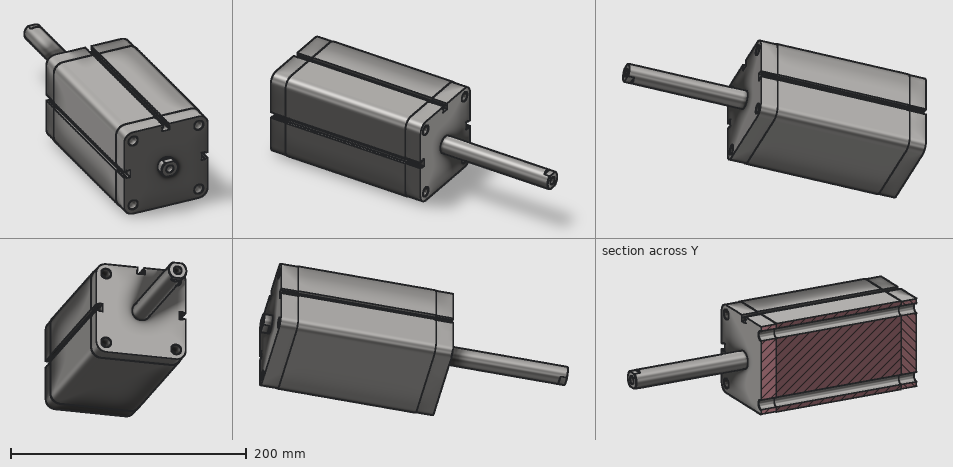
import cadquery as cq

cap_length = 15.0
tube_length = 120.0
barrel_length = tube_length + 2 * cap_length

tube_width = 80.0
tube_corner_radius = 9.0
cap_setback = 0.4

corner_hole_diameter = 8.3
corner_hole_chamfer = 0.4
corner_hole_spacing = tube_width - 2 * tube_corner_radius

slot_opening_width = 5.6
cap_undercut_width = 7.0
tube_undercut_width = 6.2
slot_lip_depth = 3.0
slot_depth = 6.2
slot_angles = (-90, 0, 90)

rod_diameter = 16.0
rod_front_overhang = 107.5
rod_rear_overhang = 7.5
rod_length = rod_front_overhang + barrel_length + rod_rear_overhang
rod_chamfer = 0.5

across_flats = 13.5
flat_length = 5.7
flat_runout = 0.7

bore_diameter = 6.6
bore_chamfer = 0.3
bore_depth = 20.0
bore_tip_length = 2.0


def section_plane(x):
    """Plane at the given X, facing +X, with local axes along Y and Z."""
    return cq.Workplane("YZ", origin=(x, 0, 0))


def make_slot_cutter(start_x, length, undercut_width):
    """T-slot along the top of the barrel, with its narrow opening upwards."""
    top_z = tube_width / 2
    lip_z = top_z - slot_lip_depth
    floor_z = top_z - slot_depth
    half_opening = slot_opening_width / 2
    half_undercut = undercut_width / 2
    return (
        section_plane(start_x)
        .moveTo(-half_opening, top_z)
        .lineTo(-half_opening, lip_z)
        .lineTo(-half_undercut, lip_z)
        .lineTo(-half_undercut, floor_z)
        .lineTo(half_undercut, floor_z)
        .lineTo(half_undercut, lip_z)
        .lineTo(half_opening, lip_z)
        .lineTo(half_opening, top_z)
        .close()
        .extrude(length)
    )


def make_barrel_piece(start_x, length, setback, undercut_width):
    """Square block with T-slots, four corner holes and a hole for the rod."""
    width = tube_width - 2 * setback
    piece = section_plane(start_x).rect(width, width).extrude(length)
    piece = piece.edges("|X").fillet(tube_corner_radius - setback)

    corner_holes = (
        section_plane(start_x)
        .rect(corner_hole_spacing, corner_hole_spacing, forConstruction=True)
        .vertices()
        .circle(corner_hole_diameter / 2)
        .extrude(length)
    )
    rod_hole = section_plane(start_x).circle(rod_diameter / 2).extrude(length)
    piece = piece.cut(corner_holes).cut(rod_hole)

    slot_cutter = make_slot_cutter(start_x, length, undercut_width)
    for angle in slot_angles:
        piece = piece.cut(slot_cutter.rotate((0, 0, 0), (1, 0, 0), angle))
    return piece


def make_cap(start_x, outer_side):
    """End cap of the barrel; outer_side selects its face away from the tube."""
    cap = make_barrel_piece(start_x, cap_length, cap_setback, cap_undercut_width)
    hole_mouths = cq.selectors.RadiusNthSelector(0)
    return cap.faces(outer_side).edges(hole_mouths).chamfer(corner_hole_chamfer)


def make_tube():
    """Barrel tube between the two caps."""
    return make_barrel_piece(cap_length, tube_length, 0, tube_undercut_width)


def make_flat_cutter(end_x, inward):
    """Slope-ended block for the top flat of a rod end; inward is +1 or -1 along X."""
    flat_end_x = end_x + inward * flat_length
    return (
        cq.Workplane("XZ")
        .moveTo(end_x, across_flats / 2)
        .lineTo(flat_end_x, across_flats / 2)
        .lineTo(flat_end_x + inward * flat_runout, rod_diameter / 2)
        .lineTo(end_x, rod_diameter / 2)
        .close()
        .extrude(rod_diameter / 2, both=True)
    )


def make_bore_cutter(end_x, inward):
    """Drill shape, a cylinder with a flared mouth and a conical tip, entering a rod end."""
    bore_end_x = end_x + inward * bore_depth
    return (
        cq.Workplane("XZ")
        .moveTo(end_x, 0)
        .lineTo(end_x, bore_diameter / 2 + bore_chamfer)
        .lineTo(end_x + inward * bore_chamfer, bore_diameter / 2)
        .lineTo(bore_end_x, bore_diameter / 2)
        .lineTo(bore_end_x + inward * bore_tip_length, 0)
        .close()
        .revolve(360, (0, 0, 0), (1, 0, 0))
    )


def make_rod():
    """Round rod with chamfered ends, and wrench flats and a drilled hole at each end."""
    front_x = -rod_front_overhang
    rear_x = front_x + rod_length
    rod = section_plane(front_x).circle(rod_diameter / 2).extrude(rod_length)
    rod = rod.faces("<X or >X").chamfer(rod_chamfer)
    for end_x, inward in ((front_x, 1), (rear_x, -1)):
        top_flat_cutter = make_flat_cutter(end_x, inward)
        bottom_flat_cutter = top_flat_cutter.mirror("XY")
        rod = rod.cut(top_flat_cutter).cut(bottom_flat_cutter)
        rod = rod.cut(make_bore_cutter(end_x, inward))
    return rod


cap_places = ((0, "<X"), (cap_length + tube_length, ">X"))
caps = [make_cap(start_x, outer_side) for start_x, outer_side in cap_places]
tube = make_tube()
rod = make_rod()

bodies = [*caps, tube, rod]
result = cq.Compound.makeCompound([body.solids().val() for body in bodies])